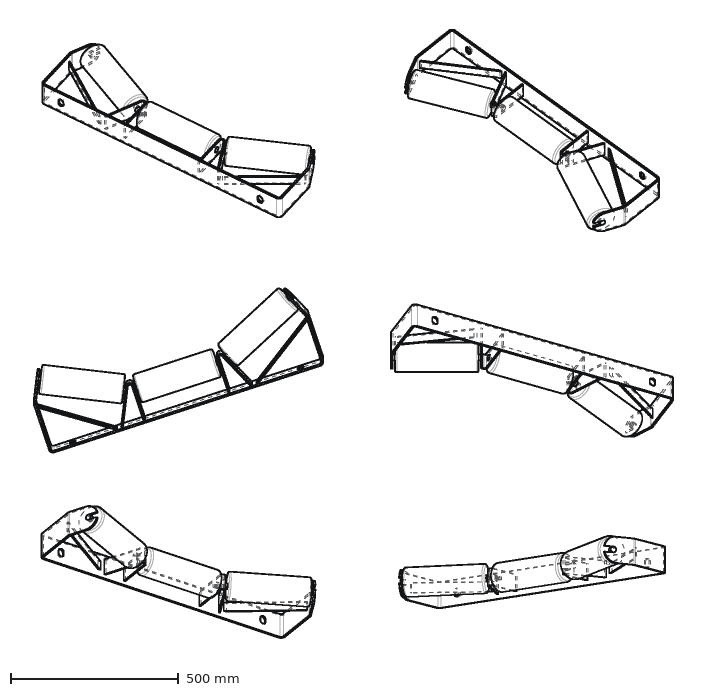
import cadquery as cq
import math


frame_length = 860.0
strip_width = 80.0
frame_thickness = 6.0
frame_bend_radius = 13.0
bend_height = 157.0
trough_angle = 25.0
arm_length = 101.0
arm_tip_radius = 39.5
bolt_slot_offset = 358.0
bolt_slot_width = 18.0
bolt_slot_length = 27.0

roller_length = 249.0
roller_diameter = 89.0
roller_edge_radius = 5.0
shaft_diameter = 18.0
roller_gap = 6.0
middle_roller_height = 99.0
wing_shaft_position = 70.5

bracket_width = 52.0
bracket_thickness = 5.0
bracket_height = 126.0
bracket_bend_radius = 10.0

brace_thickness = 5.0
brace_width = 30.0
brace_angle = 34.3
brace_top_height = 146.0

half_length = frame_length / 2
sine = math.sin(math.radians(trough_angle))
cosine = math.cos(math.radians(trough_angle))
shaft_reach = roller_length / 2 + roller_gap

arm_direction = cq.Vector(sine, cosine)
axis_direction = cq.Vector(cosine, -sine)
bend_point = cq.Vector(-half_length, bend_height)
wing_shaft_start = bend_point + arm_direction * wing_shaft_position
wing_centre = wing_shaft_start + axis_direction * (frame_thickness + shaft_reach)
middle_centre = cq.Vector(0, middle_roller_height)


def mirrored(body):
    """Copy on the other side of the YZ plane."""
    return body.mirror("YZ")


def extruded_outline(points, width):
    """Plate whose outline lies in XY, centred on Z = 0."""
    outline = [point.toTuple()[:2] for point in points]
    return cq.Workplane("XY").polyline(outline).close().extrude(width / 2, both=True)


def fillet_bend(body, outer_point, inner_point, outer_radius, thickness):
    """Round both faces of a bend about one centre."""
    for point, radius in ((outer_point, outer_radius), (inner_point, outer_radius - thickness)):
        body = body.edges(cq.selectors.NearestToPointSelector(point.toTuple())).fillet(radius)
    return body


def make_frame():
    inner_x = -half_length + frame_thickness
    inner_bend = cq.Vector(
        inner_x, bend_height - frame_thickness * math.tan(math.radians(trough_angle / 2))
    )
    outer_corner = cq.Vector(-half_length, 0)
    inner_corner = cq.Vector(inner_x, frame_thickness)
    outer_tip = bend_point + arm_direction * arm_length
    inner_tip = outer_tip + axis_direction * frame_thickness
    half = extruded_outline(
        [
            cq.Vector(0, 0),
            outer_corner,
            bend_point,
            outer_tip,
            inner_tip,
            inner_bend,
            inner_corner,
            cq.Vector(0, frame_thickness),
        ],
        strip_width,
    )
    half = half.edges(cq.selectors.ParallelDirSelector(axis_direction)).fillet(arm_tip_radius)
    half = fillet_bend(half, outer_corner, inner_corner, frame_bend_radius, frame_thickness)
    half = fillet_bend(half, bend_point, inner_bend, frame_bend_radius, frame_thickness)

    slot_plane = cq.Plane(wing_shaft_start, xDir=arm_direction, normal=axis_direction)
    slot = (
        cq.Workplane(slot_plane)
        .center((arm_length - shaft_diameter) / 2, 0)
        .slot2D(arm_length, shaft_diameter)
        .extrude(frame_thickness)
    )
    bolt_slot = (
        cq.Workplane("XZ")
        .center(-bolt_slot_offset, 0)
        .slot2D(bolt_slot_length, bolt_slot_width, 90)
        .extrude(-frame_thickness)
    )
    half = half.cut(slot).cut(bolt_slot)
    return half.union(mirrored(half))


def make_roller(centre, direction, left_support, right_support):
    """Roller and its shaft, whose ends are flush with the far faces of the supports."""
    plane = cq.Plane(centre, xDir=(0, 0, 1), normal=direction)
    shell = (
        cq.Workplane(plane)
        .workplane(offset=-roller_length / 2)
        .circle(roller_diameter / 2)
        .extrude(roller_length)
        .edges()
        .fillet(roller_edge_radius)
    )
    shaft = (
        cq.Workplane(plane)
        .workplane(offset=-shaft_reach - left_support)
        .circle(shaft_diameter / 2)
        .extrude(2 * shaft_reach + left_support + right_support)
    )
    return shell.union(shaft)


def make_left_bracket():
    straight_x = -shaft_reach
    wing_face = wing_centre + axis_direction * shaft_reach
    slope = sine / cosine
    sloped_thickness = bracket_thickness / cosine
    inner_height = bracket_height - bracket_thickness

    def sloped_x(height):
        return wing_face.x + (height - wing_face.y) * slope

    straight_top = cq.Vector(straight_x, bracket_height)
    straight_inner = cq.Vector(straight_x - bracket_thickness, inner_height)
    sloped_top = cq.Vector(sloped_x(bracket_height), bracket_height)
    sloped_inner = cq.Vector(sloped_x(inner_height) + sloped_thickness, inner_height)
    bracket = extruded_outline(
        [
            cq.Vector(straight_x, frame_thickness),
            straight_top,
            sloped_top,
            cq.Vector(sloped_x(frame_thickness), frame_thickness),
            cq.Vector(sloped_x(frame_thickness) + sloped_thickness, frame_thickness),
            sloped_inner,
            straight_inner,
            cq.Vector(straight_x - bracket_thickness, frame_thickness),
        ],
        bracket_width,
    )
    bracket = fillet_bend(
        bracket, straight_top, straight_inner, bracket_bend_radius, bracket_thickness
    )
    return fillet_bend(bracket, sloped_top, sloped_inner, bracket_bend_radius, bracket_thickness)


def make_left_brace():
    """Strip from the side of the frame down to its base, cut to fit at both ends."""
    slope = math.tan(math.radians(brace_angle))
    top_x = -half_length + frame_thickness
    top_drop = brace_thickness / math.cos(math.radians(brace_angle))
    foot_x = top_x + (brace_top_height - frame_thickness) / slope
    return extruded_outline(
        [
            cq.Vector(top_x, brace_top_height),
            cq.Vector(foot_x, frame_thickness),
            cq.Vector(foot_x - top_drop / slope, frame_thickness),
            cq.Vector(top_x, brace_top_height - top_drop),
        ],
        brace_width,
    )


frame = make_frame()
middle_roller = make_roller(
    middle_centre, cq.Vector(1, 0, 0), bracket_thickness, bracket_thickness
)
left_roller = make_roller(wing_centre, axis_direction, frame_thickness, bracket_thickness)
left_bracket = make_left_bracket().cut(middle_roller).cut(left_roller)
left_brace = make_left_brace()

bodies = [frame.solids().val(), middle_roller.solids().val()]
for left_body in (left_roller, left_bracket, left_brace):
    bodies.append(left_body.solids().val())
    bodies.append(mirrored(left_body).solids().val())

result = cq.Compound.makeCompound(bodies)